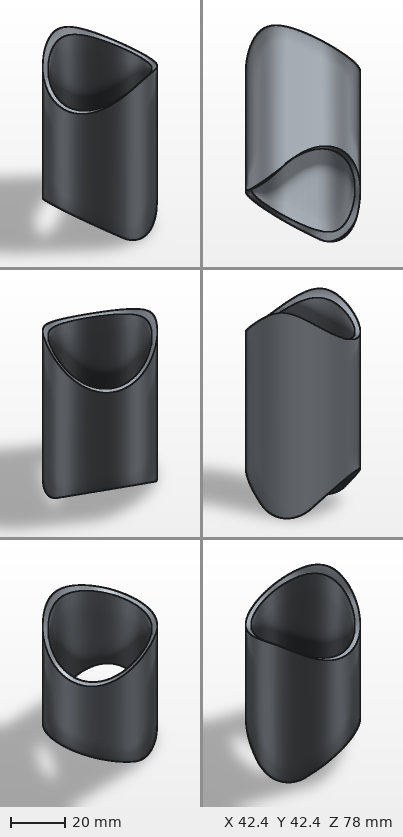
import cadquery as cq
import math

tube_diameter = 42.4
bore_diameter = 38.4
overall_height = 78.0
saddle_spacing = 50.0
top_pipe_diameter = 48.3
bottom_pipe_diameter = tube_diameter

tube_radius = tube_diameter / 2
top_pipe_radius = top_pipe_diameter / 2
bottom_pipe_radius = bottom_pipe_diameter / 2

top_cope_depth = top_pipe_radius - math.sqrt(top_pipe_radius**2 - tube_radius**2)

bottom_cope_depth = overall_height - saddle_spacing - top_cope_depth

bottom_saddle_z = bottom_pipe_radius
tip_z = bottom_saddle_z - bottom_cope_depth
top_saddle_z = bottom_saddle_z + saddle_spacing
top_z = tip_z + overall_height

tip_radius = tip_z / (math.sqrt(2) - 1)


def make_tube():
    """Plain tube from the unrounded lower points up to the upper horns."""
    return (
        cq.Workplane("XY")
        .circle(tube_radius)
        .circle(bore_diameter / 2)
        .extrude(top_z)
    )


def make_pipe(radius, axis_z):
    """Solid pipe along Y, long enough to pass right through the tube."""
    return (
        cq.Workplane("XZ")
        .center(0, axis_z)
        .circle(radius)
        .extrude(tube_diameter, both=True)
    )


def make_tip_envelope():
    """Block along X whose V-shaped underside has a rounded point."""
    tangent_offset = tip_radius / math.sqrt(2)
    side = tube_diameter
    return (
        cq.Workplane("YZ")
        .moveTo(-side, top_z)
        .lineTo(-side, side)
        .lineTo(-tangent_offset, tangent_offset)
        .threePointArc((0, tip_z), (tangent_offset, tangent_offset))
        .lineTo(side, side)
        .lineTo(side, top_z)
        .close()
        .extrude(tube_diameter, both=True)
    )


top_pipe = make_pipe(top_pipe_radius, top_saddle_z + top_pipe_radius)
bottom_pipe = make_pipe(bottom_pipe_radius, 0)

result = make_tube().intersect(make_tip_envelope()).cut(top_pipe).cut(bottom_pipe)